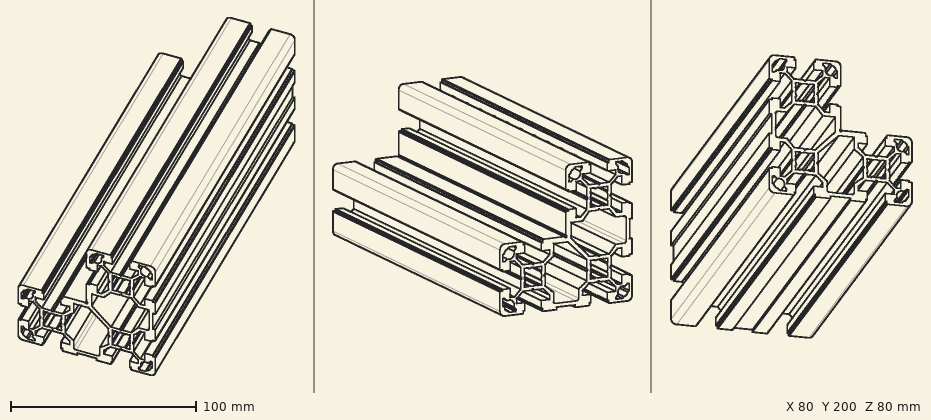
import cadquery as cq

LENGTH = 200.0
MODULE = 40.0
HALF = MODULE / 2
SIZE = 2 * MODULE

ARM_WIDTH = 40.2
CORNER_RADIUS = 3.0
RELIEF_RADIUS = 0.5

MOUTH_HALF = 5.0
RABBET_WIDTH = 0.8
RABBET_DEPTH = 1.5
MOUTH_CHAMFER = 0.5
LIP = 6.2
UNDERCUT_HALF = 10.0
WEB_OFFSET = 1.3
CORE_HALF = 7.5
GROOVE_HALF = 0.8
GROOVE_DEPTH = 0.5

BORE_RADIUS = 5.2
POCKET_EDGE = 2.8
RIDGE_TIP = (2.2, 4.5)

CHAMBER_HALF = 7.5
CHAMBER_SHOULDER = 10.0
INNER_WALL = 3.0
OUTER_WALL = 3.5
CHAMBER_RADIUS = 1.5
BRACE_FOOT_HALF = 6.0
BRACE_ROOT_OFFSET = 2.0
BRACE_FOOT_OFFSET = 1.5

RECESS_HALF = 5.5
RECESS_DEPTH = 1.5

HOLLOW_CENTER = 5.5
HOLLOW_RADIUS = 3.0
LOBE = [(5.8, 1.8), (9.5, 1.8), (9.8, 2.8), (8.5, 4.5)]

LEFT = (HALF, HALF)
CORNER = (SIZE - HALF, HALF)
UPPER = (SIZE - HALF, SIZE - HALF)


def section():
    """Sketch plane of the profile: local x is X, local y is Z."""
    return cq.Workplane("XZ")


def bar(wire):
    """Extrude a closed profile over the full length."""
    return wire.extrude(-LENGTH)


def place(body, center, angle):
    """Turn a body about the Y axis (0, 90, 180, 270) and move it to a center."""
    turned = body.rotate((0, 0, 0), (0, 1, 0), angle)
    return turned.translate((center[0], 0, center[1]))


def rounded_arm(width, height):
    """Rectangular bar that ends at the outer lower right corner of the L."""
    arm = bar(section().center(SIZE - width / 2, height / 2).rect(width, height))
    return arm.edges("|Y").fillet(CORNER_RADIUS)


def l_body():
    body = rounded_arm(ARM_WIDTH, SIZE).union(rounded_arm(SIZE, ARM_WIDTH))
    relief = bar(section().center(SIZE - ARM_WIDTH, ARM_WIDTH).circle(RELIEF_RADIUS))
    return body.cut(relief)


def t_slot():
    """Slot in the upper side of a module centered on the origin."""
    lip_height = HALF - LIP
    rabbet_half = MOUTH_HALF + RABBET_WIDTH
    rabbet_height = HALF - RABBET_DEPTH
    overshoot = ARM_WIDTH - MODULE
    right_side = [
        (rabbet_half + MOUTH_CHAMFER + overshoot, HALF + overshoot),
        (rabbet_half, HALF - MOUTH_CHAMFER),
        (rabbet_half, rabbet_height),
        (MOUTH_HALF, rabbet_height),
        (MOUTH_HALF, lip_height),
        (UNDERCUT_HALF, lip_height),
        (UNDERCUT_HALF, UNDERCUT_HALF + WEB_OFFSET),
        (CORE_HALF - WEB_OFFSET, CORE_HALF),
    ]
    left_side = [(-x, height) for x, height in reversed(right_side)]
    return bar(section().polyline(right_side + left_side).close())


def core_bore():
    tip_near, tip_far = RIDGE_TIP
    pocket = [
        (0, 0),
        (tip_near, tip_far),
        (POCKET_EDGE, BORE_RADIUS),
        (BORE_RADIUS, BORE_RADIUS),
        (BORE_RADIUS, POCKET_EDGE),
        (tip_far, tip_near),
    ]
    bore = bar(section().circle(BORE_RADIUS))
    corner_pocket = bar(section().polyline(pocket).close())
    for angle in (0, 90, 180, 270):
        bore = bore.union(place(corner_pocket, (0, 0), angle))
    return bore


def core_groove():
    """V-groove in the upper face of a core centered on the origin."""
    outline = [(-GROOVE_HALF, CORE_HALF), (GROOVE_HALF, CORE_HALF), (0, CORE_HALF - GROOVE_DEPTH)]
    return bar(section().polyline(outline).close())


def corner_hollow():
    """Hollow near the upper right corner of a module centered on the origin."""
    middle = HALF - HOLLOW_CENTER
    lobe = [(HALF - along, HALF - across) for along, across in LOBE]
    mirrored_lobe = [(z, x) for x, z in reversed(lobe)]
    round_part = bar(section().center(middle, middle).circle(HOLLOW_RADIUS))
    lobes = bar(section().polyline(lobe + mirrored_lobe).close())
    return round_part.union(lobes)


def upper_chamber():
    """Chamber between the upper and the corner core."""
    ceiling = MODULE + CHAMBER_HALF
    floor = MODULE - CHAMBER_HALF
    inner = MODULE + INNER_WALL
    outer = SIZE - OUTER_WALL
    axis_x, upper_z = UPPER
    corner_z = CORNER[1]
    outline = [
        (inner, ceiling),
        (axis_x - CHAMBER_SHOULDER, ceiling),
        (axis_x - BRACE_FOOT_HALF, upper_z - CORE_HALF),
        (axis_x + BRACE_FOOT_HALF, upper_z - CORE_HALF),
        (axis_x + CHAMBER_SHOULDER, ceiling),
        (outer, ceiling),
        (outer, floor),
        (axis_x + CHAMBER_SHOULDER, floor),
        (axis_x + BRACE_FOOT_HALF, corner_z + CORE_HALF),
        (SIZE - corner_z - CORE_HALF + BRACE_FOOT_OFFSET, corner_z + CORE_HALF),
        (inner, SIZE - inner + BRACE_ROOT_OFFSET),
    ]
    chamber = bar(section().polyline(outline).close())
    return chamber.faces(">X").edges("|Y").fillet(CHAMBER_RADIUS)


def right_recess():
    return bar(section().center(SIZE, MODULE).rect(2 * RECESS_DEPTH, 2 * RECESS_HALF))


def mirrored_across_diagonal(body):
    """Swap the upper and left arms of the L."""
    flipped = body.translate((-MODULE, 0, -MODULE)).mirror("XY")
    return flipped.rotate((0, 0, 0), (0, 1, 0), 90).translate((MODULE, 0, MODULE))


SLOTS = [
    (UPPER, (0, 90, 270)),
    (CORNER, (90, 180)),
    (LEFT, (0, 180, 270)),
]
HOLLOWS = [
    (UPPER, (0, 270)),
    (CORNER, (90,)),
    (LEFT, (180, 270)),
]

result = l_body()
for center, angles in SLOTS:
    result = result.cut(place(core_bore(), center, 0))
    for angle in (0, 90, 180, 270):
        result = result.cut(place(core_groove(), center, angle))
    for angle in angles:
        result = result.cut(place(t_slot(), center, angle))
for center, angles in HOLLOWS:
    for angle in angles:
        result = result.cut(place(corner_hollow(), center, angle))
for cutter in (upper_chamber(), right_recess()):
    result = result.cut(cutter).cut(mirrored_across_diagonal(cutter))